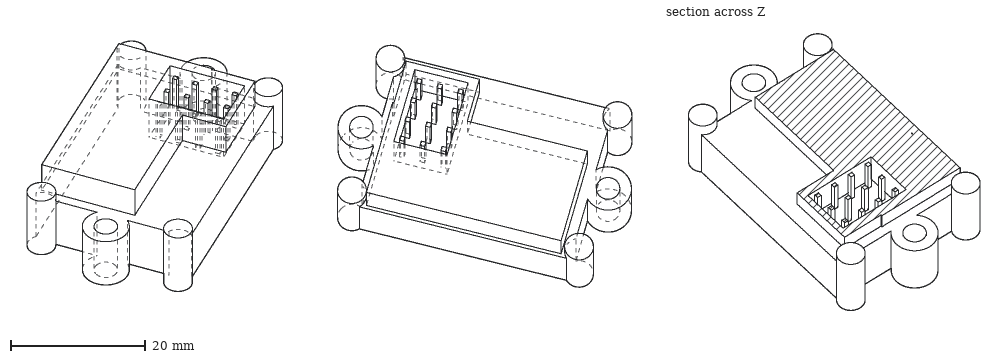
import cadquery as cq

base_width = 25.0
base_length = 33.0
base_height = 8.5

post_diameter = 4.3
post_height = 10.5
post_spacing_x = 22.0
post_spacing_y = 35.0

ear_diameter = 7.0
ear_hole_diameter = 3.5
ear_spacing = 38.0

total_height = 13.5
cover_height = total_height - base_height
cover_left = -12.0
cover_right = 3.0
cover_length = 30.0

housing_right = 10.0
housing_front = 3.5
housing_back = 14.8

socket_left = -3.0
socket_right = 9.0
socket_front = 5.0
socket_back = 13.2
socket_depth = 7.5
socket_floor = total_height - socket_depth
pin_size = 0.7
pin_length = 6.3
pin_pitch = 3.2
pin_columns = 4
pin_rows = 3
pin_center_x = 3.05
pin_center_y = 9.05


def box_between(left, right, front, back, bottom, height):
    """Box given by its X limits, Y limits, bottom level and height."""
    return (
        cq.Workplane("XY")
        .box(right - left, back - front, height, centered=False)
        .translate((left, front, bottom))
    )


def make_base():
    """Plain base block."""
    return cq.Workplane("XY").box(base_width, base_length, base_height, centered=(True, True, False))


def make_posts():
    """Four corner posts standing taller than the base."""
    return (
        cq.Workplane("XY")
        .rect(post_spacing_x, post_spacing_y, forConstruction=True)
        .vertices()
        .circle(post_diameter / 2)
        .extrude(post_height)
    )


def ear_cylinders(diameter):
    """Pair of base-height cylinders on the ear axes."""
    return (
        cq.Workplane("XY")
        .rarray(1, ear_spacing, 1, 2)
        .circle(diameter / 2)
        .extrude(base_height)
    )


def make_cover():
    """L-shaped raised cover: the long block and the connector housing."""
    half_length = cover_length / 2
    cover = box_between(cover_left, cover_right, -half_length, half_length, base_height, cover_height)
    housing = box_between(
        cover_right, housing_right, housing_front, housing_back, base_height, cover_height
    )
    return cover.union(housing)


def make_socket():
    """Rectangular pocket, open at the top, that holds the pins."""
    return box_between(socket_left, socket_right, socket_front, socket_back, socket_floor, socket_depth)


def make_pins():
    """Grid of square pins standing on the socket floor."""
    return (
        cq.Workplane("XY", origin=(pin_center_x, pin_center_y, socket_floor))
        .rarray(pin_pitch, pin_pitch, pin_columns, pin_rows)
        .rect(pin_size, pin_size)
        .extrude(pin_length)
    )


body = make_base().union(make_posts()).union(ear_cylinders(ear_diameter))
body = body.cut(ear_cylinders(ear_hole_diameter))
body = body.union(make_cover()).cut(make_socket())
result = body.union(make_pins())